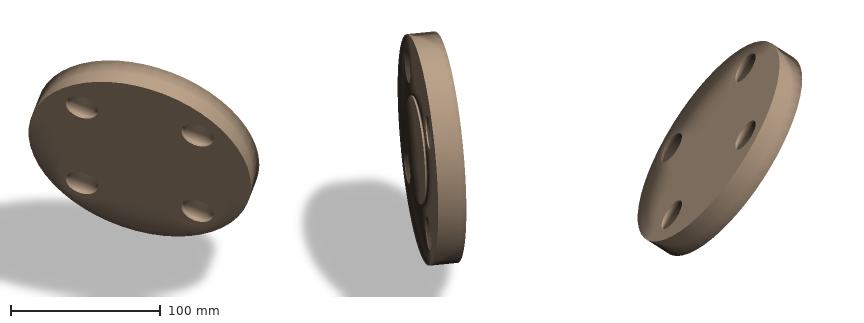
import cadquery as cq

flange_diameter = 155.5
total_thickness = 20.7
raised_face_diameter = 73.2
raised_face_height = 1.5
bolt_hole_diameter = 22.4
bolt_circle_diameter = 114.3
bolt_count = 4
first_bolt_angle = 45.0

disc_thickness = total_thickness - raised_face_height


def cylinder_along_y(diameter, length):
    """Cylinder starting at Y = 0 and extending toward +Y."""
    return cq.Workplane("XZ").circle(diameter / 2).extrude(-length)


disc = cylinder_along_y(flange_diameter, disc_thickness)
raised_face = cylinder_along_y(raised_face_diameter, total_thickness)

bolt_holes = (
    cq.Workplane("XZ")
    .polarArray(bolt_circle_diameter / 2, first_bolt_angle, 360, bolt_count)
    .circle(bolt_hole_diameter / 2)
    .extrude(-disc_thickness)
)

result = disc.union(raised_face).cut(bolt_holes)